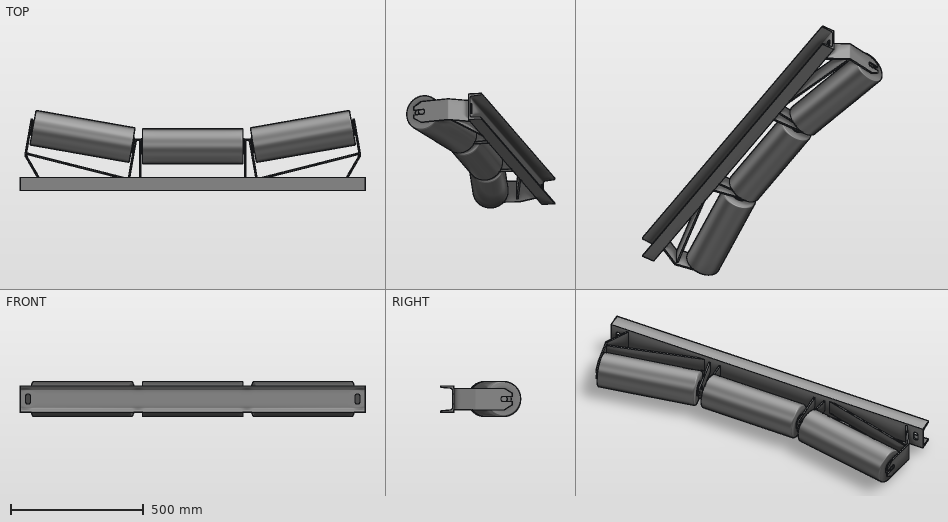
import cadquery as cq
import math


beam_length = 1300.0
beam_height = 100.0
beam_width = 50.0
web_thickness = 6.0
flange_thickness = 8.5
flange_slope = 0.08
root_radius = 8.5
toe_radius = 4.5
mount_slot_length = 39.0
mount_slot_width = 18.0
mount_slot_inset = 30.0

roller_radius = 66.5
roller_length = 380.0
roller_edge_radius = 5.0
hub_radius = 29.0
hub_length = 3.2
shaft_radius = 12.4
shaft_flat_width = 18.0
centre_roller_y = 117.0
wing_roller_x = 415.0
wing_roller_y = 154.0
wing_angle = 10.0

plate_thickness = 6.0
outer_bracket_width = 80.0
inner_bracket_width = 51.0
wing_gap = 6.0
centre_gap = 4.5
outer_top_rise = 31.0
taper_rise = 1.0
outer_top_width = 44.0
bend_y = 82.5
bend_outer_radius = 10.0
foot_angle = 30.0
inner_bracket_top_y = 144.0
brace_width = 61.0
brace_start_y = 92.0
brace_angle = 14.2

wing_near = roller_length / 2 + wing_gap
wing_far = wing_near + plate_thickness
centre_near = roller_length / 2 + centre_gap
centre_far = centre_near + plate_thickness

shaft_length = 2 * centre_far

SIN_WING = math.sin(math.radians(wing_angle))
COS_WING = math.cos(math.radians(wing_angle))
WING_TAN = math.tan(math.radians(wing_angle))


def wing_point(along, across):
    """XY of a point given along and across the axis of the -X wing roller."""
    x = -wing_roller_x + along * COS_WING + across * SIN_WING
    y = wing_roller_y - along * SIN_WING + across * COS_WING
    return x, y


def wing_point_at_y(along, y):
    """XY where the plane square to the wing axis at this position reaches a given Y."""
    x0, y0 = wing_point(along, 0)
    return x0 + (y - y0) * WING_TAN, y


def to_wing(body):
    """Move a body from the origin, with its axis on X, to the -X wing roller's place."""
    tilted = body.rotate((0, 0, 0), (0, 0, 1), -wing_angle)
    return tilted.translate((-wing_roller_x, wing_roller_y, 0))


def to_centre(body):
    """Move a body from the origin, with its axis on X, to the centre roller's place."""
    return body.translate((0, centre_roller_y, 0))


def plate(points, width):
    """Extrude an XY outline symmetrically about Z = 0."""
    outline = cq.Workplane("XY", origin=(0, 0, -width / 2)).polyline(points).close()
    return outline.extrude(width)


def make_beam():
    half = beam_height / 2
    mid_width = beam_width / 2
    root_z = half - flange_thickness - flange_slope * (mid_width - web_thickness)
    toe_z = half - flange_thickness + flange_slope * mid_width
    beam = (
        cq.Workplane("YZ", origin=(-beam_length / 2, 0, 0))
        .moveTo(0, -half)
        .lineTo(-beam_width, -half)
        .lineTo(-beam_width, -toe_z)
        .lineTo(-web_thickness, -root_z)
        .lineTo(-web_thickness, root_z)
        .lineTo(-beam_width, toe_z)
        .lineTo(-beam_width, half)
        .lineTo(0, half)
        .close()
        .extrude(beam_length)
    )
    for side in (-1, 1):
        root = cq.selectors.NearestToPointSelector((0, -web_thickness, side * root_z))
        beam = beam.edges(root).fillet(root_radius)
        toe = cq.selectors.NearestToPointSelector((0, -beam_width, side * toe_z))
        beam = beam.edges(toe).fillet(toe_radius)
    slot_x = beam_length / 2 - mount_slot_inset
    slots = (
        cq.Workplane("XZ")
        .pushPoints([(-slot_x, 0), (slot_x, 0)])
        .slot2D(mount_slot_length, mount_slot_width, 90)
        .extrude(web_thickness)
    )
    return beam.cut(slots)


def cylinder(radius, length):
    """Cylinder along X, centred at the origin."""
    return cq.Workplane("YZ", origin=(-length / 2, 0, 0)).circle(radius).extrude(length)


def shaft(length):
    """Shaft along X with two flats facing +Z and -Z."""
    rod = cylinder(shaft_radius, length)
    return rod.intersect(cq.Workplane("XY").box(length, 2 * shaft_radius, shaft_flat_width))


def shaft_slot():
    """Cutter along X for the shaft and for the way in above it."""
    length = 2 * wing_far
    way_in = cq.Workplane("XY").box(length, roller_radius, shaft_flat_width, centered=(True, False, True))
    return shaft(length).union(way_in)


def make_roller():
    """Roller at the origin with its axis on X, with hubs and a flatted shaft at both ends."""
    shell = cylinder(roller_radius, roller_length).edges("%CIRCLE").fillet(roller_edge_radius)
    hubs = cylinder(hub_radius, roller_length + 2 * hub_length)
    return shell.union(hubs).union(shaft(shaft_length))


def make_outer_bracket():
    """Bent plate that holds the outer end of the -X wing roller."""
    foot_run = math.tan(math.radians(foot_angle))
    foot_thickness = plate_thickness / math.cos(math.radians(foot_angle))
    bend_out = wing_point_at_y(-wing_far, bend_y)
    mitre = math.radians((foot_angle - wing_angle) / 2)
    mitre_length = plate_thickness / math.cos(math.radians((foot_angle + wing_angle) / 2))
    bend_in = (
        bend_out[0] + mitre_length * math.cos(mitre),
        bend_out[1] + mitre_length * math.sin(mitre),
    )
    foot_x = bend_out[0] + bend_y * foot_run
    bracket = plate(
        [
            wing_point(-wing_far, outer_top_rise),
            bend_out,
            (foot_x, 0),
            (foot_x + foot_thickness, 0),
            bend_in,
            wing_point(-wing_near, outer_top_rise),
        ],
        outer_bracket_width,
    )
    bend_inner_radius = bend_outer_radius - plate_thickness
    for (x, y), radius in ((bend_out, bend_outer_radius), (bend_in, bend_inner_radius)):
        bracket = bracket.edges(cq.selectors.NearestToPointSelector((x, y, 0))).fillet(radius)
    for side in (-1, 1):
        corner = (
            cq.Workplane("YZ")
            .polyline([
                (taper_rise, side * outer_bracket_width / 2),
                (outer_top_rise, side * outer_top_width / 2),
                (outer_top_rise, side * outer_bracket_width / 2),
            ])
            .close()
            .extrude(-wing_far)
        )
        bracket = bracket.cut(to_wing(corner))
    return bracket.cut(to_wing(shaft_slot()))


def make_inner_bracket():
    """Bridge between the centre roller and the -X wing roller: two legs joined at the top."""
    web_y = inner_bracket_top_y - plate_thickness
    bracket = plate(
        [
            wing_point_at_y(wing_near, 0),
            wing_point_at_y(wing_near, inner_bracket_top_y),
            (-centre_near, inner_bracket_top_y),
            (-centre_near, 0),
            (-centre_far, 0),
            (-centre_far, web_y),
            wing_point_at_y(wing_far, web_y),
            wing_point_at_y(wing_far, 0),
        ],
        inner_bracket_width,
    )
    return bracket.cut(to_wing(shaft_slot())).cut(to_centre(shaft_slot()))


def make_brace():
    """Flat stay from the -X outer bracket down to the beam."""
    slope = math.tan(math.radians(brace_angle))
    drop = plate_thickness / math.cos(math.radians(brace_angle))
    top_x, top_y = wing_point_at_y(-wing_near, brace_start_y)
    under_x, under_y = wing_point_at_y(-wing_near, brace_start_y - drop)
    return plate(
        [
            (top_x, top_y),
            (top_x + top_y / slope, 0),
            (under_x + under_y / slope, 0),
            (under_x, under_y),
        ],
        brace_width,
    )


def both_sides(body):
    """The -X body and its mirror image on the +X side."""
    return [body.val(), body.mirror("YZ").val()]


beam = make_beam()
centre_roller = to_centre(make_roller())
wing_rollers = both_sides(to_wing(make_roller()))
outer_brackets = both_sides(make_outer_bracket())
inner_brackets = both_sides(make_inner_bracket())
braces = both_sides(make_brace())

result = cq.Compound.makeCompound([
    beam.val(),
    centre_roller.val(),
    *wing_rollers,
    *outer_brackets,
    *inner_brackets,
    *braces,
])